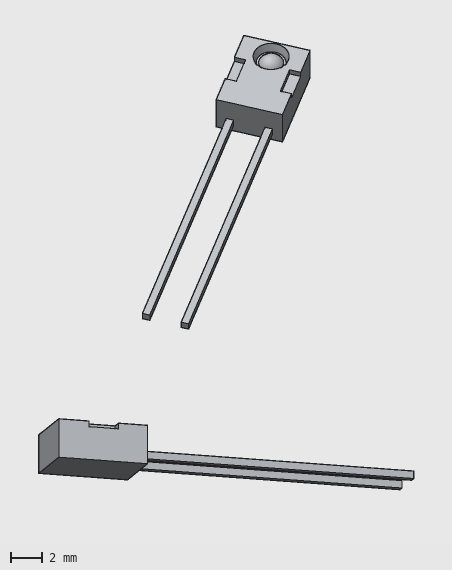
import cadquery as cq

BODY_WIDTH = 4.45
BODY_HEIGHT = 2.54
OVERALL_LENGTH = 23.94
LEAD_LENGTH = 18.0
BODY_LENGTH = OVERALL_LENGTH - LEAD_LENGTH

LEAD_SIZE = 0.5
LEAD_PITCH = 2.6
LEAD_CENTER_Z = 0.75

NOTCH_TO_BACK = 2.03
NOTCH_LENGTH = 1.97
NOTCH_WIDTH = 0.75
NOTCH_DEPTH = 0.38

CUP_TOP_RADIUS = 1.15
CUP_FLOOR_RADIUS = 0.95
CUP_DEPTH = 0.57
CUP_TO_BACK = 1.26
LENS_BASE_RADIUS = 0.8
LENS_HEIGHT = 0.5
CUP_CENTER_Y = BODY_LENGTH - CUP_TO_BACK
CUP_FLOOR_Z = BODY_HEIGHT - CUP_DEPTH


def make_body():
    return cq.Workplane("XY").box(BODY_WIDTH, BODY_LENGTH, BODY_HEIGHT, centered=(True, False, False))


def make_lead(center_x):
    """Square lead running from the front face towards -Y."""
    return (
        cq.Workplane("XZ")
        .center(center_x, LEAD_CENTER_Z)
        .rect(LEAD_SIZE, LEAD_SIZE)
        .extrude(LEAD_LENGTH)
    )


def make_notch(side):
    """Cutter for the notch on the given side (-1 or +1 along X)."""
    center_x = side * (BODY_WIDTH - NOTCH_WIDTH) / 2
    center_y = BODY_LENGTH - NOTCH_TO_BACK - NOTCH_LENGTH / 2
    return (
        cq.Workplane("XY", origin=(center_x, center_y, BODY_HEIGHT))
        .rect(NOTCH_WIDTH, NOTCH_LENGTH)
        .extrude(-NOTCH_DEPTH)
    )


def make_cup():
    """Conical cutter for the cup, narrowing towards its floor."""
    return (
        cq.Workplane("XY", origin=(0, CUP_CENTER_Y, CUP_FLOOR_Z))
        .circle(CUP_FLOOR_RADIUS)
        .workplane(offset=CUP_DEPTH)
        .circle(CUP_TOP_RADIUS)
        .loft(ruled=True)
    )


def make_lens():
    """Sphere whose cap stands on the cup floor; the rest of it is buried in the body."""
    sphere_radius = (LENS_BASE_RADIUS**2 + LENS_HEIGHT**2) / (2 * LENS_HEIGHT)
    sphere_center_z = CUP_FLOOR_Z + LENS_HEIGHT - sphere_radius
    return cq.Workplane("XY", origin=(0, CUP_CENTER_Y, sphere_center_z)).sphere(sphere_radius)


result = make_body().cut(make_cup()).union(make_lens())
for side in (-1, 1):
    result = result.cut(make_notch(side))
    result = result.union(make_lead(side * LEAD_PITCH / 2))